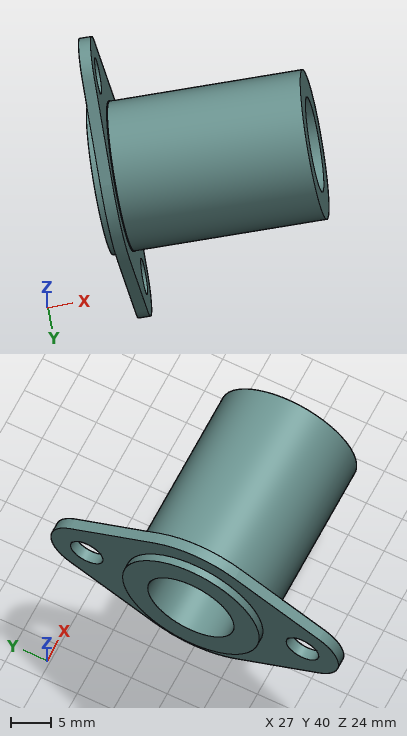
import cadquery as cq
import math

tube_length = 27.0
tube_diameter = 18.85
collar_diameter = 19.0
collar_length = 2.68
bore_diameter = 12.0

flange_start = 1.05
flange_thickness = 1.5
flange_length = 39.97
flange_height = 24.0
hole_spacing = 29.98
hole_diameter = 4.5

hole_offset = hole_spacing / 2
middle_radius = flange_height / 2
end_radius = flange_length / 2 - hole_offset

tangent_y = (middle_radius - end_radius) / hole_offset
tangent_z = math.sqrt(1 - tangent_y**2)
middle_y = middle_radius * tangent_y
middle_z = middle_radius * tangent_z
end_y = hole_offset + end_radius * tangent_y
end_z = end_radius * tangent_z


def make_flange():
    """Rounded diamond plate with a mounting hole at each end."""
    plate = (
        cq.Workplane("YZ", origin=(flange_start, 0, 0))
        .moveTo(-middle_y, middle_z)
        .threePointArc((0, middle_radius), (middle_y, middle_z))
        .lineTo(end_y, end_z)
        .threePointArc((flange_length / 2, 0), (end_y, -end_z))
        .lineTo(middle_y, -middle_z)
        .threePointArc((0, -middle_radius), (-middle_y, -middle_z))
        .lineTo(-end_y, -end_z)
        .threePointArc((-flange_length / 2, 0), (-end_y, end_z))
        .close()
        .extrude(flange_thickness)
    )
    holes = (
        cq.Workplane("YZ", origin=(flange_start, 0, 0))
        .pushPoints([(-hole_offset, 0), (hole_offset, 0)])
        .circle(hole_diameter / 2)
        .extrude(flange_thickness)
    )
    return plate.cut(holes)


def make_cylinder(diameter, length):
    """Cylinder on the tube axis, starting at X = 0."""
    return cq.Workplane("YZ").circle(diameter / 2).extrude(length)


collar = make_cylinder(collar_diameter, collar_length)
tube = make_cylinder(tube_diameter, tube_length)

bore = make_cylinder(bore_diameter, tube_length)

result = make_flange().union(collar).union(tube).cut(bore)